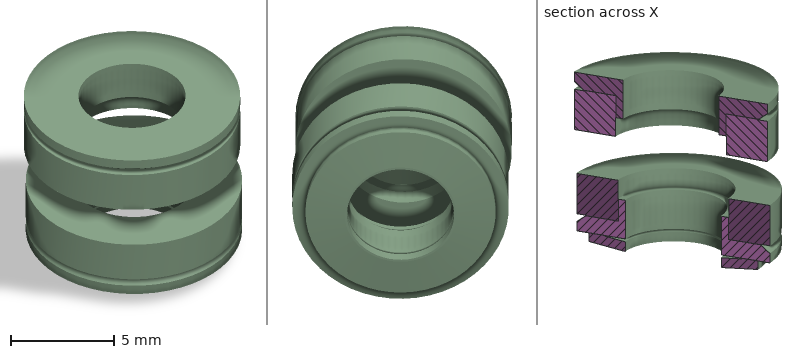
import cadquery as cq

outer_diameter = 10.5
bore_diameter = 5.2
neck_diameter = 6.0
groove_diameter = 9.5
rim_height = 0.5
bevel_height = 0.38
neck_height = 1.13
ring_height = 2.09
ring_gap = 2.21
seat_diameter = 9.23
seat_height = 0.44
crown_diameter = 5.42
crown_height = 0.2
dish_depth = 0.13

lower_shift_x = -0.09
lower_shift_y = 0.13

flange_height = rim_height + bevel_height
lower_ring_level = flange_height
upper_ring_level = lower_ring_level + ring_height + ring_gap
upper_flange_top = upper_ring_level + ring_height + flange_height


def revolve_profile(points):
    """Revolve a closed (radius, height) outline about the Z axis."""
    return cq.Workplane("XZ").polyline(points).close().revolve(360, (0, 0), (0, 1))


def make_flanged_bushing():
    """Bored flange at the bottom, beveled above its rim, with a neck rising from it."""
    neck_top = flange_height + neck_height
    return revolve_profile([
        (bore_diameter / 2, 0),
        (outer_diameter / 2, 0),
        (outer_diameter / 2, rim_height),
        (groove_diameter / 2, flange_height),
        (neck_diameter / 2, flange_height),
        (neck_diameter / 2, neck_top),
        (bore_diameter / 2, neck_top),
    ])


def make_ring():
    """Plain ring whose bore fits over the bushing neck."""
    return revolve_profile([
        (neck_diameter / 2, 0),
        (outer_diameter / 2, 0),
        (outer_diameter / 2, ring_height),
        (neck_diameter / 2, ring_height),
    ])


def make_seat():
    """Bored disc below the lower flange, dished on top parallel to its conical underside."""
    crown_slope = 2 * crown_height / (seat_diameter - crown_diameter)
    dish_diameter = bore_diameter + 2 * dish_depth / crown_slope
    return revolve_profile([
        (bore_diameter / 2, -dish_depth),
        (dish_diameter / 2, 0),
        (seat_diameter / 2, 0),
        (seat_diameter / 2, -seat_height),
        (crown_diameter / 2, -seat_height - crown_height),
        (bore_diameter / 2, -seat_height - crown_height),
    ])


lower_shift = (lower_shift_x, lower_shift_y, 0)
bushings = [make_flanged_bushing().translate(lower_shift)]
rings = [make_ring().translate((lower_shift_x, lower_shift_y, lower_ring_level))]
seat = make_seat().translate(lower_shift)

turned_bushing = make_flanged_bushing().rotate((0, 0, 0), (1, 0, 0), 180)
bushings.append(turned_bushing.translate((0, 0, upper_flange_top)))
rings.append(make_ring().translate((0, 0, upper_ring_level)))

result = cq.Compound.makeCompound([body.val() for body in [*bushings, *rings, seat]])